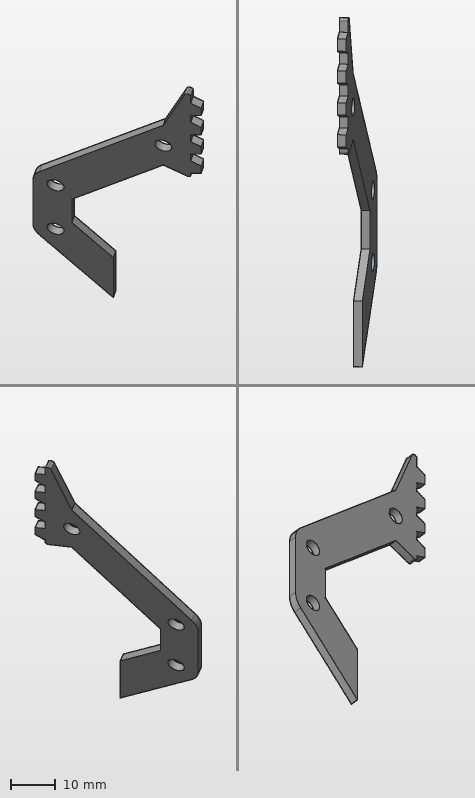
import cadquery as cq
import math

thickness = 2.0
height = 84.3
total_width = 39.3

spine_width = 9.1
leg_rise = 15.2
blade_x = 18.8
upper_bend_z = 39.8
lower_bend_z = blade_x
head_x = 30.45

hole_diameter = 4.0
spine_hole_x = 5.3
bend_radius = spine_hole_x
bend_tangent = bend_radius * math.tan(math.radians(22.5))
head_hole_z = 62.5

tooth_count = 4
tooth_pitch = 7.3
first_tooth_z = 56.8
tooth_depth = 2.45
tooth_tip_width = 2.8
tooth_root_width = 4.8
root_x = total_width - tooth_depth
head_flare = math.radians(20)
head_corner_radius = 0.6


def tooth_points(center_z):
    """Four corners of one tooth, from bottom to top."""
    return [
        (root_x, center_z - tooth_root_width / 2),
        (total_width, center_z - tooth_tip_width / 2),
        (total_width, center_z + tooth_tip_width / 2),
        (root_x, center_z + tooth_root_width / 2),
    ]


head_lower_z = upper_bend_z + head_x - leg_rise
head_upper_z = upper_bend_z + head_x
head_bottom = (root_x, head_lower_z - (root_x - head_x) * math.tan(head_flare))
head_top_left = (head_x + (height - head_upper_z) * math.tan(head_flare), height)
head_top_right = (root_x, height)

outline = [
    (blade_x, 0),
    (blade_x, leg_rise),
    (spine_width, lower_bend_z - spine_width + leg_rise),
    (spine_width, upper_bend_z + spine_width - leg_rise),
    (head_x, head_lower_z),
    head_bottom,
]
for index in range(tooth_count):
    outline += tooth_points(first_tooth_z + index * tooth_pitch)
outline += [
    head_top_right,
    head_top_left,
    (head_x, head_upper_z),
    (0, upper_bend_z),
    (0, lower_bend_z),
]
plate = cq.Workplane("XZ").polyline(outline).close().extrude(thickness)


def round_corner(body, corner, radius):
    """Fillet the through-thickness edge at an outline corner."""
    x, z = corner
    edge = cq.selectors.NearestToPointSelector((x, -thickness / 2, z))
    return body.edges("|Y").edges(edge).fillet(radius)


for bend_z in (lower_bend_z, upper_bend_z):
    plate = round_corner(plate, (0, bend_z), bend_radius)
for corner in (head_bottom, head_top_right, head_top_left):
    plate = round_corner(plate, corner, head_corner_radius)

hole_centers = [
    (spine_hole_x, lower_bend_z + bend_tangent),
    (spine_hole_x, upper_bend_z - bend_tangent),
    (head_x, head_hole_z),
]
holes = cq.Workplane("XZ").pushPoints(hole_centers).circle(hole_diameter / 2).extrude(thickness)

result = plate.cut(holes)